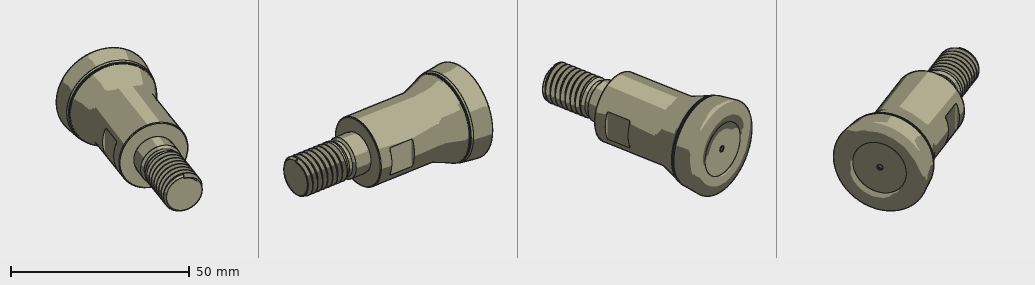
import cadquery as cq
import math

overall_length = 60.1

head_radius = 14.3
head_widest_x = 1.6
head_side_start_x = 2.45
head_side_start_radius = 14.25
rim_crest_radius = 10.7
rim_arc_radius = 6.0
rim_outer_edge = 13.95
rim_inner_edge = 8.65
recess_edge_radius = 8.1
recess_wall_depth = 0.35
dish_flat_radius = 5.9
dish_depth = 0.25
head_back_x = 7.5
head_back_radius = 13.65
joint_groove_x = 8.1
joint_groove_width = 0.5
joint_groove_depth = 0.35
joint_edge_radius = 13.35
cone_start_x = 9.45
cone_angle = math.radians(20)

hole_diameter = 1.5
hole_depth = 0.7
countersink_diameter = 1.85

body_radius = 21.05 / 2
body_start_x = 16.9
body_end_x = 38.05
body_chamfer = 0.25
cone_blend_radius = 5.0
flat_start_x = 26.0
flat_end_x = 34.1
across_flats = 19.0
flat_corner_radius = 0.35

collar_radius = 12.5 / 2
collar_lead_radius = 6.1
collar_start_x = 38.9
collar_end_x = 43.4
undercut_radius = 10.8 / 2
undercut_start_x = 44.0
undercut_end_x = 45.15

thread_radius = 6.0
thread_start_x = 46.1
thread_pitch = 1.75
thread_depth = 1.11
thread_half_angle = math.radians(30)
root_half_width = 0.1
first_valley_x = 46.8
thread_turns = 7.5
tip_chamfer = 0.6


def rim_x(radius):
    """X of the rounded front rim at a given radius."""
    return rim_arc_radius - math.sqrt(rim_arc_radius**2 - (radius - rim_crest_radius) ** 2)


def make_turned_body():
    recess_x = rim_x(rim_inner_edge) + recess_wall_depth
    dish_x = recess_x + dish_depth
    rim_outer_x = rim_x(rim_outer_edge)
    groove_end_x = joint_groove_x + joint_groove_width
    groove_floor = joint_edge_radius - joint_groove_depth

    shoulder_length = head_widest_x - rim_outer_x
    shoulder_rise = head_radius - rim_outer_edge
    shoulder_arc_radius = (shoulder_length**2 + shoulder_rise**2) / (2 * shoulder_rise)
    shoulder_half_angle = math.asin(shoulder_length / shoulder_arc_radius) / 2
    shoulder_mid = (
        head_widest_x - shoulder_arc_radius * math.sin(shoulder_half_angle),
        head_radius - shoulder_arc_radius * (1 - math.cos(shoulder_half_angle)),
    )

    dish_mid = (dish_x - dish_depth / 4, (dish_flat_radius + recess_edge_radius) / 2)

    def blend_point(angle):
        """Point on the arc that is tangent to both the body and the head cone."""
        return (
            body_start_x - cone_blend_radius * math.sin(angle),
            body_radius + cone_blend_radius * (1 - math.cos(angle)),
        )

    blend_x, blend_radius = blend_point(cone_angle)
    cone_start_radius = blend_radius + (blend_x - cone_start_x) * math.tan(cone_angle)

    profile = (
        cq.Workplane("XY")
        .moveTo(dish_x, 0)
        .lineTo(dish_x, dish_flat_radius)
        .threePointArc(dish_mid, (recess_x, recess_edge_radius))
        .lineTo(rim_x(rim_inner_edge), rim_inner_edge)
        .threePointArc((0, rim_crest_radius), (rim_outer_x, rim_outer_edge))
        .threePointArc(shoulder_mid, (head_widest_x, head_radius))
        .tangentArcPoint((head_side_start_x, head_side_start_radius), relative=False)
        .lineTo(head_back_x, head_back_radius)
        .lineTo(joint_groove_x, joint_edge_radius)
        .lineTo(joint_groove_x, groove_floor)
        .lineTo(groove_end_x, groove_floor)
        .lineTo(groove_end_x, joint_edge_radius)
        .lineTo(cone_start_x, cone_start_radius)
        .lineTo(blend_x, blend_radius)
        .threePointArc(blend_point(cone_angle / 2), (body_start_x, body_radius))
        .lineTo(body_end_x - body_chamfer, body_radius)
        .lineTo(body_end_x, body_radius - body_chamfer)
        .lineTo(body_end_x, collar_lead_radius)
        .lineTo(collar_start_x, collar_radius)
        .lineTo(collar_end_x, collar_radius)
        .lineTo(undercut_start_x, undercut_radius)
        .lineTo(undercut_end_x, undercut_radius)
        .lineTo(thread_start_x, thread_radius)
        .lineTo(overall_length - tip_chamfer, thread_radius)
        .lineTo(overall_length, thread_radius - tip_chamfer)
        .lineTo(overall_length, 0)
        .close()
    )
    turned = profile.revolve(360, (0, 0, 0), (1, 0, 0))

    hole_radius = hole_diameter / 2
    countersink_radius = countersink_diameter / 2
    hole_profile = (
        cq.Workplane("XY")
        .moveTo(dish_x, 0)
        .lineTo(dish_x, countersink_radius)
        .lineTo(dish_x + countersink_radius - hole_radius, hole_radius)
        .lineTo(dish_x + hole_depth, hole_radius)
        .lineTo(dish_x + hole_depth, 0)
        .close()
    )
    return turned.cut(hole_profile.revolve(360, (0, 0, 0), (1, 0, 0)))


def make_flat_cutter(side):
    """Block that cuts one wrench flat; side is +1 or -1 along Y."""
    length = flat_end_x - flat_start_x
    floor_y = side * across_flats / 2
    return (
        cq.Workplane("XY")
        .box(length, body_radius, 2 * body_radius)
        .edges("|Z")
        .fillet(flat_corner_radius)
        .translate((flat_start_x + length / 2, floor_y + side * body_radius / 2, 0))
    )


def make_thread_groove():
    """Helical V groove, cut from behind the undercut to the tip."""
    overshoot = 0.05
    groove_length = thread_turns * thread_pitch
    root_radius = thread_radius - thread_depth
    outer_radius = thread_radius + overshoot
    outer_half_width = root_half_width + (thread_depth + overshoot) * math.tan(thread_half_angle)
    helix = cq.Wire.makeHelix(thread_pitch, groove_length, root_radius)
    section = (
        cq.Workplane("XZ")
        .moveTo(root_radius, -root_half_width)
        .lineTo(outer_radius, -outer_half_width)
        .lineTo(outer_radius, outer_half_width)
        .lineTo(root_radius, root_half_width)
        .close()
    )
    groove = section.sweep(cq.Workplane(obj=helix), isFrenet=True)
    return groove.rotate((0, 0, 0), (0, 1, 0), 90).translate((first_valley_x, 0, 0))


result = make_turned_body()
for flat_side in (1, -1):
    result = result.cut(make_flat_cutter(flat_side))
result = result.cut(make_thread_groove())